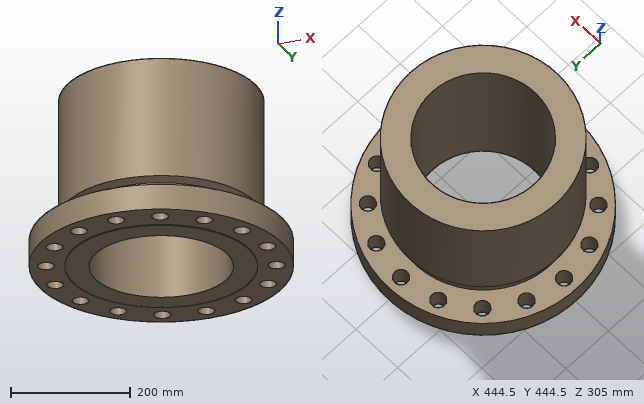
import cadquery as cq

flange_diameter = 444.5
total_height = 305.0
bore_diameter = 242.5

raised_face_diameter = 324.0
raised_face_height = 1.6
flange_top = 47.5

neck_diameter = 320.0
neck_top = 80.0
pipe_diameter = 345.7
pipe_bottom = 87.0

bolt_count = 16
bolt_circle_diameter = 387.0
bolt_hole_diameter = 28.5


def revolved_body():
    """Half profile of the hollow body, revolved about the Z axis."""
    bore_radius = bore_diameter / 2
    profile = [
        (bore_radius, 0),
        (raised_face_diameter / 2, 0),
        (raised_face_diameter / 2, raised_face_height),
        (flange_diameter / 2, raised_face_height),
        (flange_diameter / 2, flange_top),
        (neck_diameter / 2, flange_top),
        (neck_diameter / 2, neck_top),
        (pipe_diameter / 2, pipe_bottom),
        (pipe_diameter / 2, total_height),
        (bore_radius, total_height),
    ]
    return cq.Workplane("XZ").polyline(profile).close().revolve(360, (0, 0), (0, 1))


def bolt_holes():
    """Ring of through-hole cutters, with the first hole on the +X axis."""
    return (
        cq.Workplane("XY")
        .polarArray(bolt_circle_diameter / 2, 0, 360, bolt_count)
        .circle(bolt_hole_diameter / 2)
        .extrude(flange_top)
    )


result = revolved_body().cut(bolt_holes())